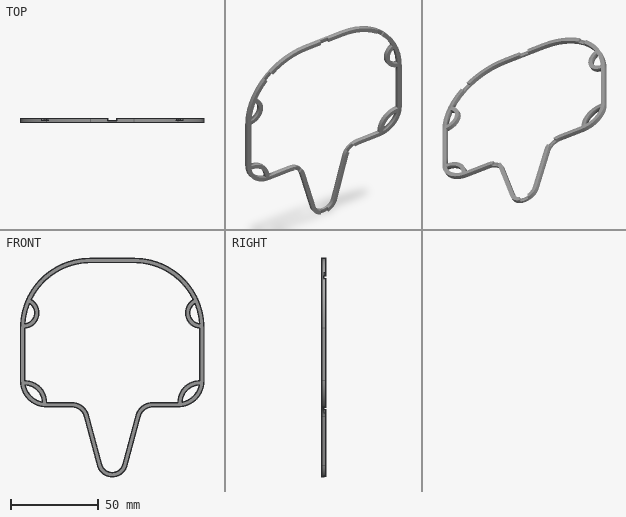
import cadquery as cq
import math

width = 105.0
height = 125.0
thickness = 2.5
band = 2.5
half_width = width / 2

shoulder_radius = 40.0
corner_radius = 15.0
base_z = 40.0
tip_radius = 8.8
neck_radius = 7.5
taper_angle = 15.0

upper_loop_radius = 8.8
upper_loop_x = 50.6
upper_loop_z = 93.8
lower_loop_radius = 12.5
lower_loop_x = half_width - band
lower_loop_z = base_z + band

notch_width = 5.0
notch_depth = 1.2
notch_length = 2 * band
shoulder_notch_angle = 49.0

taper = math.radians(taper_angle)
shoulder_x = half_width - shoulder_radius
shoulder_z = height - shoulder_radius
corner_x = half_width - corner_radius
corner_z = base_z + corner_radius
neck_z = base_z - neck_radius
neck_x = (tip_radius + neck_radius) / math.cos(taper) + (neck_z - tip_radius) * math.tan(taper)


def polar(center_x, center_z, radius, angle):
    """Point on a circle, with the angle in degrees from +X towards +Z."""
    turn = math.radians(angle)
    return center_x + radius * math.cos(turn), center_z + radius * math.sin(turn)


def mirrored(point):
    return -point[0], point[1]


def plate(inset):
    """Solid plate bounded by the outline moved inwards by inset."""
    shoulder = shoulder_radius - inset
    corner = corner_radius - inset
    neck = neck_radius + inset
    tip = tip_radius - inset
    neck_end = 180 - taper_angle
    neck_middle = (90 + neck_end) / 2

    top = (shoulder_x, height - inset)
    shoulder_mid = polar(shoulder_x, shoulder_z, shoulder, 45)
    side_top = (half_width - inset, shoulder_z)
    side_bottom = (half_width - inset, corner_z)
    corner_mid = polar(corner_x, corner_z, corner, -45)
    base_outer = (corner_x, base_z + inset)
    base_inner = (neck_x, base_z + inset)
    neck_mid = polar(neck_x, neck_z, neck, neck_middle)
    taper_top = polar(neck_x, neck_z, neck, neck_end)
    taper_bottom = polar(0, tip_radius, tip, -taper_angle)

    return (
        cq.Workplane("XZ")
        .moveTo(*top)
        .threePointArc(shoulder_mid, side_top)
        .lineTo(*side_bottom)
        .threePointArc(corner_mid, base_outer)
        .lineTo(*base_inner)
        .threePointArc(neck_mid, taper_top)
        .lineTo(*taper_bottom)
        .threePointArc((0, inset), mirrored(taper_bottom))
        .lineTo(*mirrored(taper_top))
        .threePointArc(mirrored(neck_mid), mirrored(base_inner))
        .lineTo(*mirrored(base_outer))
        .threePointArc(mirrored(corner_mid), mirrored(side_bottom))
        .lineTo(*mirrored(side_top))
        .threePointArc(mirrored(shoulder_mid), mirrored(top))
        .close()
        .extrude(thickness / 2, both=True)
    )


def loop(x, z, radius):
    """Ring of band width around a bolt position."""
    return (
        cq.Workplane("XZ")
        .center(x, z)
        .circle(radius)
        .circle(radius - band)
        .extrude(thickness / 2, both=True)
    )


def notch(x, z, angle):
    """Cutter across the band, its length pointing along the given angle."""
    return (
        cq.Workplane("XY")
        .box(notch_length, notch_depth, notch_width)
        .rotate((0, 0, 0), (0, 1, 0), -angle)
        .translate((x, (thickness - notch_depth) / 2, z))
    )


outer_plate = plate(0)
frame = outer_plate.cut(plate(band))

for side in (-1, 1):
    upper_loop = loop(side * upper_loop_x, upper_loop_z, upper_loop_radius)
    lower_loop = loop(side * lower_loop_x, lower_loop_z, lower_loop_radius)
    frame = frame.union(upper_loop.intersect(outer_plate))
    frame = frame.union(lower_loop.intersect(outer_plate))

frame = frame.cut(notch(0, height - band / 2, 90))
frame = frame.cut(notch(0, band / 2, 90))

shoulder_point = polar(shoulder_x, shoulder_z, shoulder_radius - band / 2, shoulder_notch_angle)
neck_notch_angle = (270 - taper_angle) / 2
neck_point = polar(neck_x, neck_z, neck_radius + band / 2, neck_notch_angle)
for x, z, angle in ((*shoulder_point, shoulder_notch_angle), (*neck_point, neck_notch_angle)):
    frame = frame.cut(notch(x, z, angle))
    frame = frame.cut(notch(-x, z, 180 - angle))

result = frame